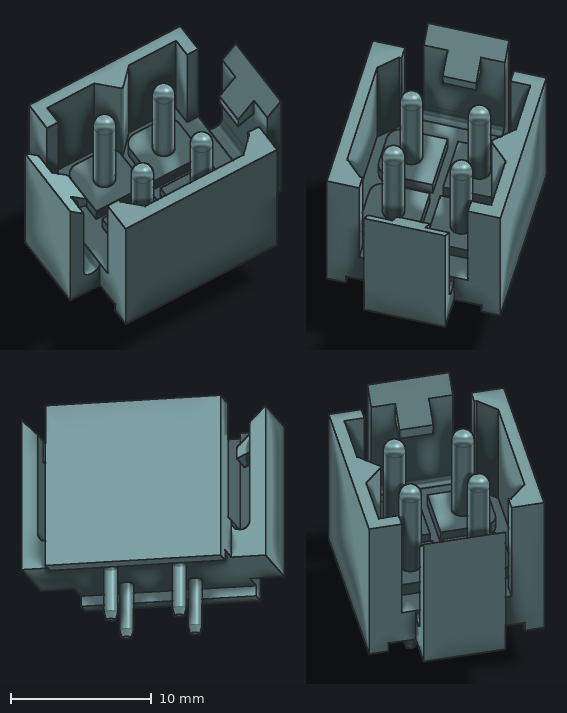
import cadquery as cq
import math


housing_side = 12.8
housing_height = 11.8
standoff = 0.75
foot_width = 1.4
side_wall = 0.93
end_wall = 0.96
floor_depth = 8.35
window_width = 8.01
corner_chamfer = 1.28
key_tip_radius = 0.15

pad_height = 0.98
pad_gap = 0.77
pad_length = 4.22
pad_width = 4.17
pad_corner_radius = 1.0

latch_span = 17.8
latch_width = 5.98
latch_arm = 1.15
slot_drop = 9.06
tongue_width = 2.45
tongue_tip_drop = 3.33
tongue_root_drop = 2.7

pin_pitch = 5.0
post_drop = 0.05
post_radius = 0.8
tail_radius = 0.5
overall_height = 15.0
tip_length = 0.55
tip_radius = 0.35

half_side = housing_side / 2
half_cavity_x = half_side - side_wall
half_cavity_y = half_side - end_wall
floor_z = housing_height - floor_depth
pad_top_z = floor_z + pad_height
tail_end_z = housing_height - overall_height
latch_outer_y = latch_span / 2
latch_inner_y = latch_outer_y - latch_arm
signs = (-1, 1)
pin_places = [(sx * pin_pitch / 2, sy * pin_pitch / 2) for sx in signs for sy in signs]


def box_between(x_range, y_range, z_range):
    """Box between two limits along each axis."""
    size = [high - low for low, high in (x_range, y_range, z_range)]
    corner = (x_range[0], y_range[0], z_range[0])
    return cq.Workplane("XY").box(*size, centered=False).translate(corner)


def cavity():
    """Open-topped cavity with two chamfered corners and a V-shaped key on the -X wall."""
    key_tip_x = -window_width / 2
    key_depth = key_tip_x + half_cavity_x
    outline = [
        (-half_cavity_x, -half_cavity_y),
        (half_cavity_x - corner_chamfer, -half_cavity_y),
        (half_cavity_x, -half_cavity_y + corner_chamfer),
        (half_cavity_x, half_cavity_y - corner_chamfer),
        (half_cavity_x - corner_chamfer, half_cavity_y),
        (-half_cavity_x, half_cavity_y),
        (-half_cavity_x, key_depth),
        (key_tip_x, 0),
        (-half_cavity_x, -key_depth),
    ]
    pocket = cq.Workplane("XY").workplane(offset=floor_z).polyline(outline).close().extrude(floor_depth)
    key_edge = cq.selectors.NearestToPointSelector((key_tip_x, 0, floor_z + floor_depth / 2))
    return pocket.edges(key_edge).fillet(key_tip_radius)


def pad(x_sign, y_sign):
    """Raised pad under one pin, rounded on its two corners away from the centre line."""
    place = (x_sign * (pad_gap + pad_length) / 2, y_sign * (pad_gap + pad_width) / 2, floor_z)
    block = cq.Workplane("XY").box(pad_length, pad_width, pad_height, centered=(True, True, False))
    outer_edges = "|Z and >X" if x_sign > 0 else "|Z and <X"
    return block.edges(outer_edges).fillet(pad_corner_radius).translate(place)


def latch():
    """Latch on the +Y side: an arm joined at its foot, with a hooked tongue at the top."""
    slot_radius = (latch_inner_y - half_side) / 2
    slot_bottom_z = housing_height - slot_drop
    arm = (
        cq.Workplane("YZ")
        .moveTo(half_side, standoff)
        .lineTo(latch_outer_y, standoff)
        .lineTo(latch_outer_y, housing_height)
        .lineTo(latch_inner_y, housing_height - latch_arm)
        .lineTo(latch_inner_y, slot_bottom_z + slot_radius)
        .threePointArc((half_side + slot_radius, slot_bottom_z), (half_side, slot_bottom_z + slot_radius))
        .close()
        .extrude(latch_width / 2, both=True)
    )
    tongue = (
        cq.Workplane("YZ")
        .polyline([
            (latch_inner_y, housing_height - latch_arm),
            (latch_inner_y, housing_height - tongue_root_drop),
            (half_side, housing_height - tongue_tip_drop),
            (half_side, housing_height - latch_outer_y + half_side),
        ])
        .close()
        .extrude(tongue_width / 2, both=True)
    )
    return arm.union(tongue)


def pin_hole(place):
    """Hole through the floor and pad for the tail of one pin."""
    return cq.Workplane("XY").center(*place).circle(tail_radius).extrude(housing_height)


def make_housing():
    """Square shroud on two feet, open on both end walls, with pads, latches and pin holes."""
    full_y = (-half_side, half_side)
    body = box_between(full_y, full_y, (0, housing_height))
    half_relief = half_side - foot_width
    body = body.cut(box_between((-half_relief, half_relief), full_y, (0, standoff)))
    body = body.cut(cavity())
    half_window = window_width / 2
    body = body.cut(box_between((-half_window, half_window), full_y, (floor_z, housing_height)))
    for x_sign in signs:
        for y_sign in signs:
            body = body.union(pad(x_sign, y_sign))
    body = body.union(latch()).union(latch().mirror("XZ"))
    for place in pin_places:
        body = body.cut(pin_hole(place))
    return body


def make_pin(place):
    """Turned pin with a domed post, whose shoulder rests on the pad, and a tapered tail."""
    dome_top_z = housing_height - post_drop
    dome_base_z = dome_top_z - post_radius
    dome_mid = post_radius * math.sqrt(0.5)
    profile = (
        cq.Workplane("XZ")
        .moveTo(0, tail_end_z)
        .lineTo(tip_radius, tail_end_z)
        .lineTo(tail_radius, tail_end_z + tip_length)
        .lineTo(tail_radius, pad_top_z)
        .lineTo(post_radius, pad_top_z)
        .lineTo(post_radius, dome_base_z)
        .threePointArc((dome_mid, dome_base_z + dome_mid), (0, dome_top_z))
        .close()
    )
    return profile.revolve(360, (0, 0), (0, 1)).translate((*place, 0))


housing = make_housing()
pins = [make_pin(place) for place in pin_places]

result = cq.Compound.makeCompound([housing.val(), *[pin.val() for pin in pins]])